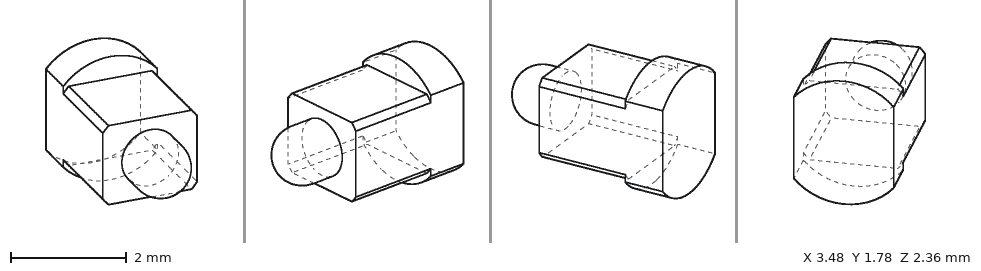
import cadquery as cq

total_length = 3.48
head_diameter = 2.36
width_across_flats = 1.78

head_length = 0.76
body_end = 2.488
body_height = 1.517
body_corner_diameter = 2.182

pin_diameter = 1.065
pin_radius = pin_diameter / 2


def make_trimmed_block(diameter, height, length):
    """Block between the Y flats whose long edges lie on a cylinder around the X axis."""
    cylinder = cq.Workplane("YZ").circle(diameter / 2).extrude(length)
    block = cq.Workplane("YZ").rect(width_across_flats, height).extrude(length)
    return cylinder.intersect(block)


def make_head():
    """Disc along X, cut to two flats on the Y sides."""
    return make_trimmed_block(head_diameter, head_diameter, head_length)


def make_body():
    """Block flush with the head flats, with its four long edges turned round."""
    return make_trimmed_block(body_corner_diameter, body_height, body_end)


def make_pin():
    """Pin on the X axis that ends in a hemisphere."""
    nose_start = total_length - pin_radius
    return (
        cq.Workplane("XY")
        .lineTo(0, pin_radius)
        .lineTo(nose_start, pin_radius)
        .radiusArc((total_length, 0), pin_radius)
        .close()
        .revolve(360, (0, 0, 0), (1, 0, 0))
    )


result = make_head().union(make_body()).union(make_pin())